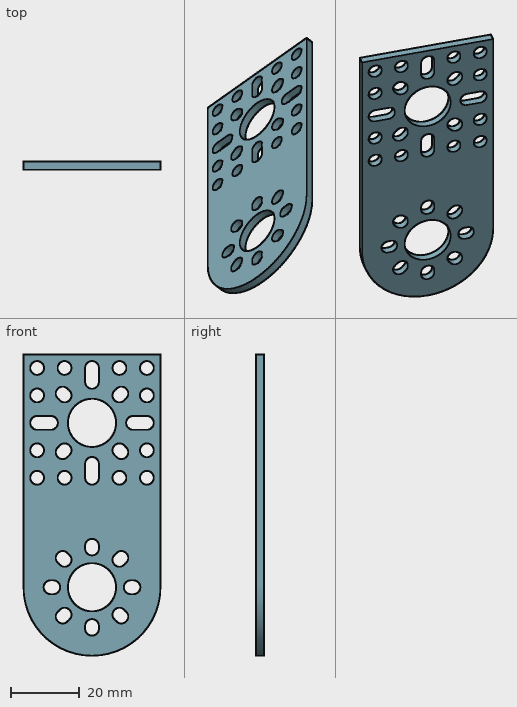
import cadquery as cq

plate_width = 40.0
plate_height = 88.0
plate_thickness = 2.5
end_radius = plate_width / 2

lower_center_z = end_radius
upper_center_z = plate_height - end_radius

bore_diameter = 14.0
hole_diameter = 4.0
hole_pitch = 8.0
edge_offset = 2 * hole_pitch

short_slot_length = 4.75
short_slot_radius = 11.7
long_slot_length = 8.0
long_slot_radius = edge_offset + hole_diameter / 2 - long_slot_length / 2


def sketch_plane(center_z):
    """Workplane on the front face, with its origin on the plate axis at center_z."""
    return cq.Workplane("XZ", origin=(0, 0, center_z))


def plate_blank():
    return (
        cq.Workplane("XZ")
        .moveTo(-end_radius, lower_center_z)
        .threePointArc((0, 0), (end_radius, lower_center_z))
        .lineTo(end_radius, plate_height)
        .lineTo(-end_radius, plate_height)
        .close()
        .extrude(-plate_thickness)
    )


def bore(center_z):
    return sketch_plane(center_z).circle(bore_diameter / 2).extrude(-plate_thickness)


def radial_slots(center_z, radius, length, start_angle, count):
    """Evenly spaced slots, each with its long axis pointing at the pattern centre."""
    return (
        sketch_plane(center_z)
        .polarArray(radius, start_angle, 360, count)
        .slot2D(length, hole_diameter)
        .extrude(-plate_thickness)
    )


def border_holes(center_z):
    """Round holes around the edge of a 5 x 5 grid, leaving mid-sides for the long slots."""
    points = []
    for side in (-edge_offset, edge_offset):
        for step in (-hole_pitch, hole_pitch):
            points.append((side, step))
            points.append((step, side))
        for corner in (-edge_offset, edge_offset):
            points.append((side, corner))
    return (
        sketch_plane(center_z)
        .pushPoints(points)
        .circle(hole_diameter / 2)
        .extrude(-plate_thickness)
    )


result = plate_blank()

result = result.cut(bore(upper_center_z))
result = result.cut(border_holes(upper_center_z))
result = result.cut(radial_slots(upper_center_z, long_slot_radius, long_slot_length, 0, 4))
result = result.cut(radial_slots(upper_center_z, short_slot_radius, short_slot_length, 45, 4))

result = result.cut(bore(lower_center_z))
result = result.cut(radial_slots(lower_center_z, short_slot_radius, short_slot_length, 0, 8))